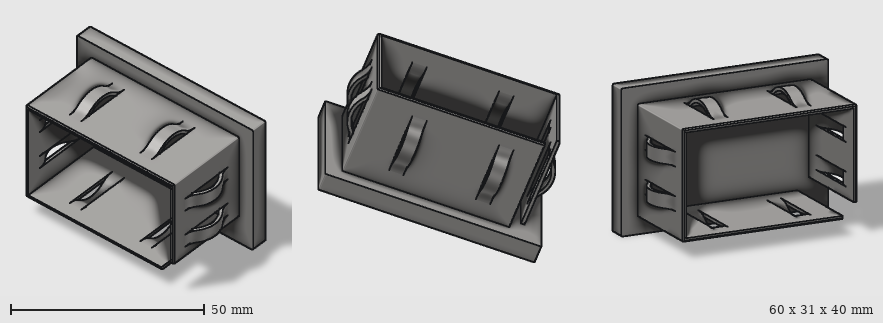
import cadquery as cq
import math

PLATE_WIDTH = 60.0
PLATE_HEIGHT = 40.0
PLATE_THICKNESS = 5.0
PLATE_CORNER_RADIUS = 0.5

SLEEVE_WIDTH = 50.5
SLEEVE_HEIGHT = 30.5
SLEEVE_LENGTH = 26.0
WALL = 1.0
SLEEVE_EDGE_RADIUS = 0.5
MOUTH_CHAMFER = 0.4
CORNER_OPENING = 4.2

CLIP_WIDTH = 4.0
CLIP_HALF_LENGTH = 8.5
CROWN_RADIUS = 8.0
CLIP_RISE = 3.0
FOOT_RADIUS = (CLIP_HALF_LENGTH**2 + CLIP_RISE**2) / (2 * CLIP_RISE) - CROWN_RADIUS
CLIP_OFFSET_WIDE_WALL = 12.0
CLIP_OFFSET_NARROW_WALL = 6.0
CLIP_CENTER_Y = -SLEEVE_LENGTH / 2


def block_along_y(width, height, start_y, length):
    """Box centred on the Y axis, running from start_y toward +Y."""
    block = cq.Workplane("XY").box(width, length, height, centered=(True, False, True))
    return block.translate((0, start_y, 0))


def make_plate():
    plate = block_along_y(PLATE_WIDTH, PLATE_HEIGHT, 0, PLATE_THICKNESS)
    return plate.edges("|Y").fillet(PLATE_CORNER_RADIUS)


def make_sleeve():
    sleeve = block_along_y(SLEEVE_WIDTH, SLEEVE_HEIGHT, -SLEEVE_LENGTH, SLEEVE_LENGTH)
    sleeve = sleeve.edges("|Y").fillet(SLEEVE_EDGE_RADIUS)
    sleeve = sleeve.faces("<Y").chamfer(MOUTH_CHAMFER)
    cavity = block_along_y(
        SLEEVE_WIDTH - 2 * WALL, SLEEVE_HEIGHT - 2 * WALL, -SLEEVE_LENGTH, SLEEVE_LENGTH
    )
    return sleeve.cut(cavity)


def make_corner_opening():
    """Block that removes the +X, -Z corner of the sleeve over its whole length."""
    corner = block_along_y(2 * CORNER_OPENING, 2 * CORNER_OPENING, -SLEEVE_LENGTH, SLEEVE_LENGTH)
    return corner.translate((SLEEVE_WIDTH / 2, 0, -SLEEVE_HEIGHT / 2))


def make_clip():
    """Clip over a wall whose outer face is Z = 0: a crown arc with a tangent foot arc each side."""
    slope = math.asin(CLIP_HALF_LENGTH / (CROWN_RADIUS + FOOT_RADIUS))
    crown_center_z = CLIP_RISE - CROWN_RADIUS

    def crown_point(angle, depth):
        radius = CROWN_RADIUS - depth
        return (radius * math.sin(angle), crown_center_z + radius * math.cos(angle))

    def foot_point(angle, depth, side):
        radius = FOOT_RADIUS + depth
        y = CLIP_HALF_LENGTH - radius * math.sin(angle)
        return (side * y, FOOT_RADIUS - radius * math.cos(angle))

    profile = (
        cq.Workplane("YZ")
        .moveTo(*foot_point(0, 0, -1))
        .threePointArc(foot_point(slope / 2, 0, -1), crown_point(-slope, 0))
        .threePointArc(crown_point(0, 0), crown_point(slope, 0))
        .threePointArc(foot_point(slope / 2, 0, 1), foot_point(0, 0, 1))
        .lineTo(*foot_point(0, WALL, 1))
        .threePointArc(foot_point(slope / 2, WALL, 1), crown_point(slope, WALL))
        .threePointArc(crown_point(0, WALL), crown_point(-slope, WALL))
        .threePointArc(foot_point(slope / 2, WALL, -1), foot_point(0, WALL, -1))
        .close()
    )
    return profile.extrude(CLIP_WIDTH / 2, both=True)


def make_slot():
    """Block that opens the wall under one clip, its outer face at Z = 0."""
    slot = cq.Workplane("XY").box(CLIP_WIDTH, 2 * CLIP_HALF_LENGTH, WALL)
    return slot.translate((0, 0, -WALL / 2))


def on_every_wall(shape):
    """Two copies of a shape on each of the four sleeve walls."""
    copies = []
    for wall_angle in (0, 90, 180, 270):
        is_wide_wall = wall_angle % 180 == 0
        offset = CLIP_OFFSET_WIDE_WALL if is_wide_wall else CLIP_OFFSET_NARROW_WALL
        wall_distance = (SLEEVE_HEIGHT if is_wide_wall else SLEEVE_WIDTH) / 2
        for side in (-1, 1):
            copy = shape.translate((side * offset, CLIP_CENTER_Y, wall_distance))
            copies.append(copy.rotate((0, 0, 0), (0, 1, 0), wall_angle))
    return copies


result = make_plate().union(make_sleeve()).cut(make_corner_opening())
for slot in on_every_wall(make_slot()):
    result = result.cut(slot)
for clip in on_every_wall(make_clip()):
    result = result.union(clip)